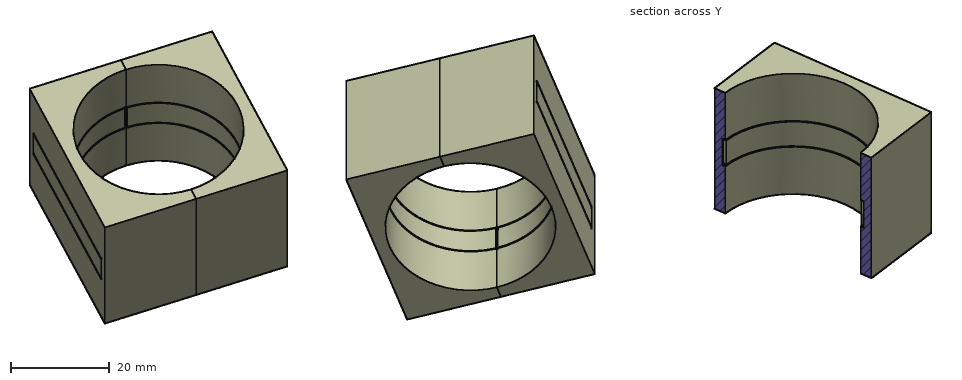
import cadquery as cq

block_side = 40.0
block_height = 30.0
bore_diameter = 34.5

tongue_width = 36.0
tongue_thickness = 6.0
gap = 0.25

half_depth = block_side / 2
mid_height = block_height / 2
slot_height = tongue_thickness + 2 * gap
tongue_length = half_depth - gap


def make_bore():
    """Round bore through the whole height."""
    return cq.Workplane("XY").circle(bore_diameter / 2).extrude(block_height)


def make_bored_half(side):
    """Half of the bored block; side is -1 for the -Y half and +1 for the +Y half."""
    block = cq.Workplane("XY").box(block_side, half_depth, block_height)
    return block.translate((0, side * half_depth / 2, mid_height)).cut(make_bore())


def make_slot():
    """Slot along Y through the whole block, as wide as the tongues and taller by the gaps."""
    return cq.Workplane("XY").box(tongue_width, block_side, slot_height).translate((0, 0, mid_height))


def make_tongue(side):
    """Flat tongue in the slot: flush with the outer face, short of the split plane by the gap."""
    tongue = cq.Workplane("XY").box(tongue_width, tongue_length, tongue_thickness)
    return tongue.translate((0, side * (gap + tongue_length / 2), mid_height)).cut(make_bore())


def make_front_housing():
    """The -Y half, with the slot left open for a loose insert."""
    return make_bored_half(-1).cut(make_slot())


def make_front_insert():
    """Loose insert, touching the slot only at its two ends."""
    return make_tongue(-1)


def make_rear_housing():
    """The +Y half, one piece with its tongue, which joins the half at both ends of the slot."""
    gaps_around_tongue = make_slot().cut(make_tongue(1))
    return make_bored_half(1).cut(gaps_around_tongue)


front_housing = make_front_housing()
front_insert = make_front_insert()
rear_housing = make_rear_housing()

result = cq.Compound.makeCompound([front_housing.val(), front_insert.val(), rear_housing.val()])